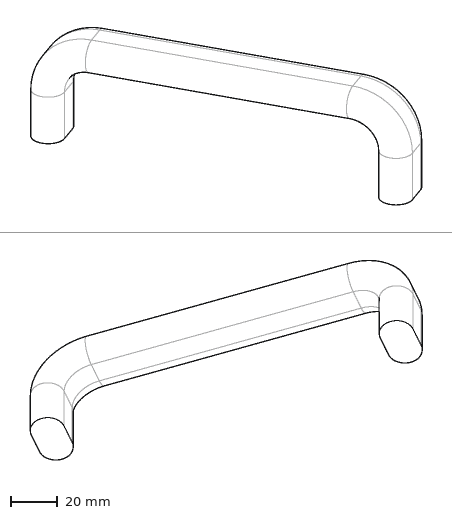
import cadquery as cq

length = 175.0
width = 25.0
height = 50.0

bar_thickness = 15.0
bend_radius = 20.0

leg_x = (length - bar_thickness) / 2
grip_z = height - bar_thickness / 2
bend_start_x = leg_x - bend_radius
bend_start_z = grip_z - bend_radius


def centreline():
    """Path up one leg, along the grip and down the other leg."""
    return (
        cq.Workplane("XZ")
        .moveTo(-leg_x, 0)
        .lineTo(-leg_x, bend_start_z)
        .tangentArcPoint((-bend_start_x, grip_z), relative=False)
        .lineTo(bend_start_x, grip_z)
        .tangentArcPoint((leg_x, bend_start_z), relative=False)
        .lineTo(leg_x, 0)
    )


def handle():
    """Sweep the slot-shaped section, drawn at the foot of the left leg."""
    section = cq.Workplane("XY").center(-leg_x, 0).slot2D(width, bar_thickness, angle=90)
    return section.sweep(centreline())


result = handle()